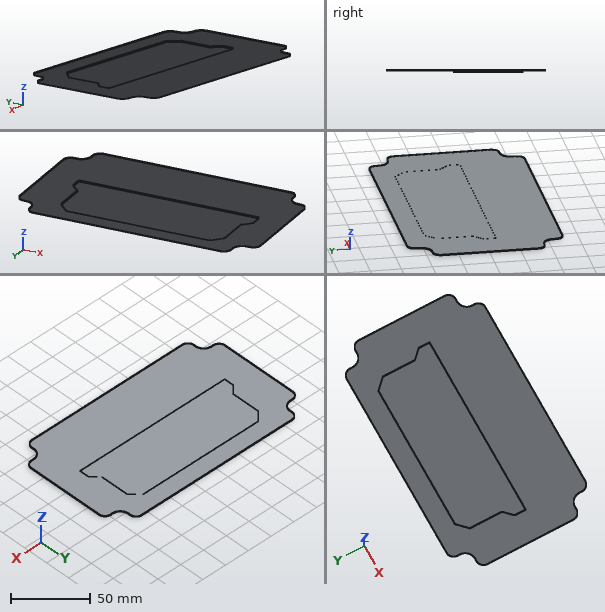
import cadquery as cq

plate_length = 170.0
plate_width = 100.0
plate_thickness = 0.63
notch_radius = 7.0
notch_size = 2 * notch_radius
corner_radius = 5.1

total_thickness = 1.62
sheet_thickness = total_thickness - plate_thickness
sheet_left = -62.5
sheet_right = 64.5
sheet_front = -7.8
sheet_back = 36.0
shoulder_y = 0.0
shoulder_size = 6.0
back_chamfer = 7.0


def make_bar(length, width):
    """Rectangular bar as thick as the plate, standing on Z = 0."""
    return cq.Workplane("XY").rect(length, width).extrude(plate_thickness)


def make_plate():
    """Two crossed bars, rounded at the outer corners and in the notches."""
    inner_length = plate_length - 2 * notch_size
    inner_width = plate_width - 2 * notch_size
    cross = make_bar(plate_length, inner_width).union(make_bar(inner_length, plate_width))

    reach_x = (inner_length + notch_size) / 2
    reach_y = (inner_width + notch_size) / 2
    notch_corners = cq.selectors.BoxSelector(
        (-reach_x, -reach_y, 0),
        (reach_x, reach_y, plate_thickness),
    )
    upright = cq.selectors.ParallelDirSelector(cq.Vector(0, 0, 1))
    plate = cross.edges(upright - notch_corners).fillet(corner_radius)
    return plate.edges(upright & notch_corners).fillet(notch_radius)


def make_sheet():
    """Flat sheet with a full-width front strip, 45 degree shoulders and chamfered back corners."""
    body_left = sheet_left + shoulder_size
    body_right = sheet_right - shoulder_size
    shoulder_back = shoulder_y + shoulder_size
    chamfer_front = sheet_back - back_chamfer
    outline = [
        (sheet_left, sheet_front),
        (sheet_right, sheet_front),
        (sheet_right, shoulder_y),
        (body_right, shoulder_back),
        (body_right, chamfer_front),
        (body_right - back_chamfer, sheet_back),
        (body_left + back_chamfer, sheet_back),
        (body_left, chamfer_front),
        (body_left, shoulder_back),
        (sheet_left, shoulder_y),
    ]
    return cq.Workplane("XY").polyline(outline).close().extrude(-sheet_thickness)


plate = make_plate()
sheet = make_sheet()

result = cq.Compound.makeCompound([plate.val(), sheet.val()])